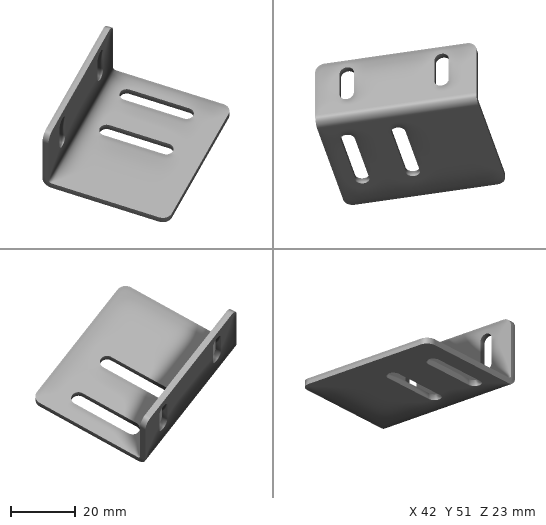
import cadquery as cq

base_length = 42.0
width = 51.0
wall_height = 23.0

thickness = 2.0
inner_bend_radius = 1.0
outer_bend_radius = inner_bend_radius + thickness
corner_radius = 3.0

slot_width = 4.5
base_slot_travel = 20.0
base_slot_x = 20.0
base_slot_ys = (27.0, 43.0)
wall_slot_travel = 8.0
wall_slot_z = 14.0
wall_slot_ys = (11.0, 41.0)


def make_folded_sheet():
    """L-shaped sheet with a rounded bend along the Y edge."""
    base = cq.Workplane("XY").box(base_length, width, thickness, centered=False)
    wall = cq.Workplane("XY").box(thickness, width, wall_height, centered=False)
    inner_corner = cq.selectors.NearestToPointSelector((thickness, width / 2, thickness))
    outer_corner = cq.selectors.NearestToPointSelector((0, width / 2, 0))
    sheet = base.union(wall)
    sheet = sheet.edges(inner_corner).fillet(inner_bend_radius)
    return sheet.edges(outer_corner).fillet(outer_bend_radius)


def round_free_corners(sheet):
    """Round the two far corners of the base and the two top corners of the wall."""
    sheet = sheet.faces(">X").edges("|Z").fillet(corner_radius)
    return sheet.faces(">Z").edges("|X").fillet(corner_radius)


def base_slot_cutter(y):
    """Slot along X, through the base."""
    return (
        cq.Workplane("XY")
        .center(base_slot_x, y)
        .slot2D(base_slot_travel + slot_width, slot_width)
        .extrude(thickness)
    )


def wall_slot_cutter(y):
    """Slot along Z, through the wall."""
    return (
        cq.Workplane("YZ")
        .center(y, wall_slot_z)
        .slot2D(wall_slot_travel + slot_width, slot_width, angle=90)
        .extrude(thickness)
    )


bracket = round_free_corners(make_folded_sheet())

for slot_y in base_slot_ys:
    bracket = bracket.cut(base_slot_cutter(slot_y))

for slot_y in wall_slot_ys:
    bracket = bracket.cut(wall_slot_cutter(slot_y))

result = bracket